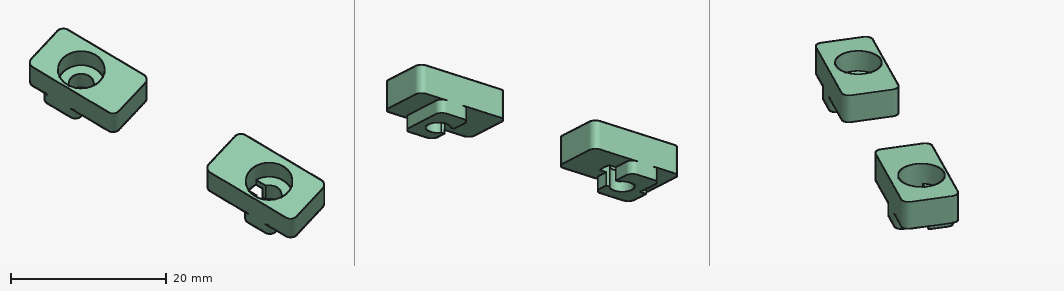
import cadquery as cq

span = 42.65
block_length = 14.1
block_width = 7.6
total_height = 5.9
block_height = 4.0
leg_height = total_height - block_height
corner_radius = 1.0

hole_inset = 6.23
hole_y = -0.4
bore_diameter = 6.0
bore_depth = 3.0
hole_diameter = 3.25
slot_width = 1.95

leg_inner_reach = 1.85
leg_outer_reach = 2.9
key_step = 1.0
key_edge_y = -0.3

hole_x = span / 2 - hole_inset


def rounded_prism(x_min, x_max, y_min, y_max, z_min, height, rounded_edges="|Z"):
    """Upright rectangular prism with rounded vertical edges."""
    return (
        cq.Workplane("XY")
        .box(x_max - x_min, y_max - y_min, height, centered=False)
        .edges(rounded_edges)
        .fillet(corner_radius)
        .translate((x_min, y_min, z_min))
    )


def cylinder(diameter, z_min, height):
    """Upright cylinder on the screw axis of the left block."""
    return (
        cq.Workplane("XY", origin=(-hole_x, hole_y, z_min))
        .circle(diameter / 2)
        .extrude(height)
    )


def screw_seat():
    """Counterbore, through hole and a slot from the hole to the counterbore wall."""
    bore = cylinder(bore_diameter, total_height - bore_depth, bore_depth)
    hole = cylinder(hole_diameter, 0, total_height)
    slot_length = bore_diameter / 2
    slot = (
        cq.Workplane("XY", origin=(-hole_x + slot_length / 2, hole_y, 0))
        .rect(slot_length, slot_width)
        .extrude(total_height)
        .intersect(cylinder(bore_diameter, 0, total_height))
    )
    return bore.union(hole).union(slot)


def clamp_block(keyed):
    """Block at the left end of the span, with its leg; a keyed leg reaches further out."""
    half_width = block_width / 2
    left_end = -span / 2
    block = rounded_prism(
        left_end, left_end + block_length, -half_width, half_width, leg_height, block_height
    )
    leg_outer_x = -hole_x - leg_outer_reach
    leg_inner_x = -hole_x + leg_inner_reach
    body = block.union(
        rounded_prism(leg_outer_x, leg_inner_x, -half_width, half_width, 0, leg_height)
    )
    if keyed:
        key = rounded_prism(
            leg_outer_x - key_step, -hole_x, -half_width, key_edge_y, 0, leg_height,
            rounded_edges="(|Z and <X) and (|Z and <Y)",
        )
        body = body.union(key)
    return body.cut(screw_seat())


keyed_block = clamp_block(keyed=True)
plain_block = clamp_block(keyed=False).mirror("YZ")

result = cq.Compound.makeCompound([keyed_block.val(), plain_block.val()])